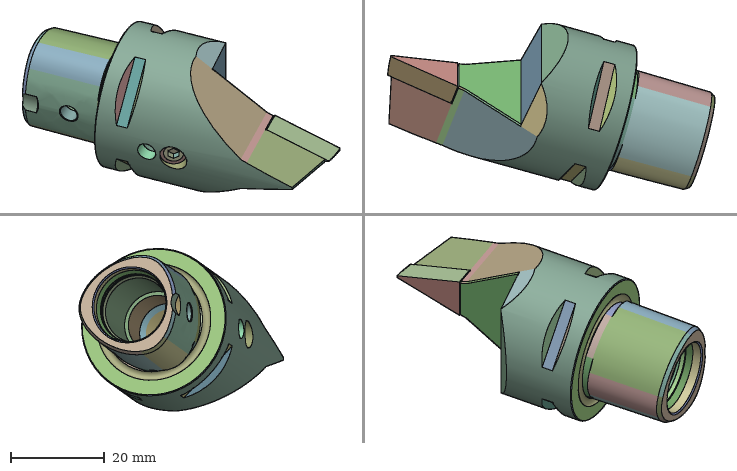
import cadquery as cq
import math


SHANK_LENGTH = 19.0
SHANK_LOBE = 0.65
LOBE_COUNT = 3
LOBE_HALF_ANGLE = 26.0
ARC_STEPS = 6
SHANK_BASE_RADIUS = 11.03
SHANK_END_RADIUS = 10.78
SHANK_BASE_X = -1.7
SHANK_CHAMFER_LENGTH = 0.9
SHANK_CHAMFER_INSET = 0.55
NECK_RADIUS = 10.8

BODY_RADIUS = 16.0
FLANGE_CHAMFER = 0.2
FACE_GROOVE_RADIUS = 12.65
FACE_GROOVE_DEPTH = 0.6

GRIP_X = 6.07
GRIP_FLOOR_DISTANCE = 14.1
GRIP_FLOOR_WIDTH = 2.45
GRIP_REAR_FLARE = 1.22
GRIP_FRONT_FLARE = 1.02
GRIP_COUNT = 4

RIDGE_Y = -0.35
SLOPE_START_X = 17.15
BEND_X = 33.4
BEND_HALF_HEIGHT = 5.35
NOSE_START_X = 34.8
NOSE_START_HALF_HEIGHT = 4.9
NOSE_TIP_X = 50.0
NOSE_TIP_HALF_HEIGHT = 0.24
BLADE_RELIEF = 0.089
BACK_RELIEF = 0.2
LAND_DROP = 0.3

BACK_CHAMFER_START_X = 15.5
BACK_CHAMFER_END = (19.7, 10.5)
STEP_X = 20.85
HEEL_X = 45.3
TOE_X = 48.4

INSERT_GAP = 0.25
POCKET_X = NOSE_START_X
INSERT_START_X = POCKET_X + INSERT_GAP
INSERT_DEPTH = 4.7
INSERT_NOSE_MIDDLE = (49.75, -2.2)
INSERT_NOSE_BOTTOM_X = 49.25

BORE_MOUTH_RADIUS = 8.25
BORE_SEAT_RADIUS = 7.95
BORE_THROAT_RADIUS = 7.43
BORE_LIP_RADIUS = 7.0
BORE_RADIUS = 6.16
BORE_TIP_RADIUS = 5.05
BORE_SEAT_END_X = -16.8
BORE_THROAT_X = -15.4
RING_START_X = -15.2
RING_END_X = -14.2
RING_INNER_RADIUS = 7.5
RING_OUTER_RADIUS = 8.1
BORE_THROAT_END_X = -13.6
BORE_LIP_X = -13.0
BORE_FLOOR_X = 2.0
BORE_END_X = 12.0
BORE_TIP_X = 15.05

KEYWAY_RADIUS = 3.5
KEYWAY_AXIS_Y = -12.7
KEYWAY_LENGTH = 3.4
SHANK_HOLE_X = -8.1
SHANK_HOLE_RADIUS = 1.95
SHANK_HOLE_CHAMFER = 0.2
BLIND_HOLE_X = 12.0
BLIND_HOLE_RADIUS = 2.05
BLIND_HOLE_DEPTH = 3.0
DRILL_POINT_SLOPE = math.tan(math.radians(31.0))

CHANNEL_RADIUS = 2.13
CHANNEL_TILT = 20.0
CHANNEL_SEAT = (17.5, -14.35)
CHANNEL_COUNTERBORE_RADIUS = 2.9
PLUG_LENGTH = 5.0
PLUG_HEX_WIDTH = 2.4
PLUG_HEX_DEPTH = 1.5

SLOPE = (BODY_RADIUS - BEND_HALF_HEIGHT) / (BEND_X - SLOPE_START_X)
NOSE_SLOPE = (NOSE_START_HALF_HEIGHT - NOSE_TIP_HALF_HEIGHT) / (NOSE_TIP_X - NOSE_START_X)
SHANK_CHAMFER_X = -SHANK_LENGTH + SHANK_CHAMFER_LENGTH


def revolve_about_x(points):
    return cq.Workplane("XY").polyline(points).close().revolve(360, (0, 0, 0), (1, 0, 0))


def drill_along_y(x, y, radius, depth):
    return cq.Workplane("XZ", origin=(x, y, 0)).circle(radius).extrude(-depth)


def lobed_point(x, radius, angle):
    """Point of the lobed curve whose outward normal stands at the given angle from +Y."""
    reach = radius + SHANK_LOBE * math.cos(LOBE_COUNT * angle)
    shift = -LOBE_COUNT * SHANK_LOBE * math.sin(LOBE_COUNT * angle)
    y = reach * math.cos(angle) - shift * math.sin(angle)
    z = reach * math.sin(angle) + shift * math.cos(angle)
    return cq.Vector(x, y, z)


def lobed_arc(x, radius, start_degrees, end_degrees):
    start = math.radians(start_degrees)
    step = (math.radians(end_degrees) - start) / ARC_STEPS
    angles = [start + index * step for index in range(ARC_STEPS + 1)]
    points = [lobed_point(x, radius, angle) for angle in angles]
    tangents = [cq.Vector(0, -math.sin(angle), math.cos(angle)) for angle in (angles[0], angles[-1])]
    return cq.Edge.makeSpline(points, tangents=tangents)


def lobed_section(x, radius):
    """Three-lobed curve of constant width, one lobe towards +Y, as alternating lobes and flanks."""
    pitch = 360 / LOBE_COUNT
    edges = []
    for lobe in range(LOBE_COUNT):
        lobe_start = lobe * pitch - LOBE_HALF_ANGLE
        lobe_end = lobe * pitch + LOBE_HALF_ANGLE
        edges.append(lobed_arc(x, radius, lobe_start, lobe_end))
        edges.append(lobed_arc(x, radius, lobe_end, lobe_start + pitch))
    return cq.Wire.assembleEdges(edges)


def lobed_loft(x_start, radius_start, x_end, radius_end):
    sections = [lobed_section(x_start, radius_start), lobed_section(x_end, radius_end)]
    return cq.Workplane(cq.Solid.makeLoft(sections, True))


def make_shank():
    taper = lobed_loft(SHANK_CHAMFER_X, SHANK_END_RADIUS, SHANK_BASE_X, SHANK_BASE_RADIUS)
    end_chamfer = lobed_loft(
        -SHANK_LENGTH, SHANK_END_RADIUS - SHANK_CHAMFER_INSET, SHANK_CHAMFER_X, SHANK_END_RADIUS
    )
    neck_end_x = 2 * FACE_GROOVE_DEPTH
    neck_round = cq.Workplane("YZ", origin=(SHANK_BASE_X, 0, 0)).circle(NECK_RADIUS)
    neck = neck_round.extrude(neck_end_x - SHANK_BASE_X).intersect(
        lobed_loft(SHANK_BASE_X, SHANK_BASE_RADIUS, neck_end_x, SHANK_BASE_RADIUS)
    )
    return taper.union(end_chamfer).union(neck)


def blade_section(y, loss):
    """Arrow-shaped outline in X and Z at a given Y, thinned by loss on both sides."""
    back_half_height = BODY_RADIUS + SLOPE * SLOPE_START_X - loss
    tip_x = NOSE_TIP_X + (NOSE_TIP_HALF_HEIGHT - loss) / NOSE_SLOPE
    upper = [
        (0, back_half_height),
        (BEND_X, BEND_HALF_HEIGHT - loss),
        (NOSE_START_X, NOSE_START_HALF_HEIGHT - loss),
    ]
    lower = [(x, -z) for x, z in reversed(upper)]
    corners = [cq.Vector(x, y, z) for x, z in upper + [(tip_x, 0)] + lower]
    return cq.Wire.makePolygon(corners, close=True)


def blade_loft(y_start, loss_start, y_end, loss_end):
    sections = [blade_section(y_start, loss_start), blade_section(y_end, loss_end)]
    return cq.Workplane(cq.Solid.makeLoft(sections, True))


def plan_prism(outline):
    """Outline in X and Y, extruded over the full height of the body."""
    return outline.close().extrude(BODY_RADIUS, both=True)


def make_body():
    cylinder = cq.Workplane("YZ").circle(BODY_RADIUS).extrude(NOSE_TIP_X)
    cylinder = cylinder.faces("<X").chamfer(FLANGE_CHAMFER)
    front = blade_loft(-BODY_RADIUS, BLADE_RELIEF * (BODY_RADIUS + RIDGE_Y), RIDGE_Y, 0)
    land = blade_loft(RIDGE_Y, 0, 0, LAND_DROP)
    back = blade_loft(RIDGE_Y, 0, BODY_RADIUS, BACK_RELIEF * (BODY_RADIUS - RIDGE_Y))

    front_outline = cq.Workplane("XY").moveTo(0, -BODY_RADIUS).lineTo(HEEL_X, -BODY_RADIUS)
    front_outline = front_outline.lineTo(TOE_X, -INSERT_DEPTH).lineTo(POCKET_X, -INSERT_DEPTH)
    front_outline = front_outline.lineTo(POCKET_X, 0).lineTo(0, 0)
    back_outline = cq.Workplane("XY").moveTo(0, RIDGE_Y).lineTo(STEP_X, RIDGE_Y).lineTo(STEP_X, 0)
    back_outline = back_outline.lineTo(*BACK_CHAMFER_END).lineTo(BACK_CHAMFER_START_X, BODY_RADIUS)
    back_outline = back_outline.lineTo(0, BODY_RADIUS)

    front_half = front.union(land).intersect(plan_prism(front_outline))
    back_half = back.intersect(plan_prism(back_outline))
    return front_half.union(back_half).intersect(cylinder)


def make_face_groove():
    """Ring of rounded section in the flange face, around the neck."""
    middle_radius = (NECK_RADIUS + FACE_GROOVE_RADIUS) / 2
    return (
        cq.Workplane("XY")
        .moveTo(0, NECK_RADIUS)
        .threePointArc((FACE_GROOVE_DEPTH, middle_radius), (0, FACE_GROOVE_RADIUS))
        .close()
        .revolve(360, (0, 0, 0), (1, 0, 0))
    )


def make_grip_groove():
    """Trapezoid groove across the top of the body."""
    rear_x = GRIP_X - GRIP_FLOOR_WIDTH / 2
    front_x = GRIP_X + GRIP_FLOOR_WIDTH / 2
    return (
        cq.Workplane("XZ")
        .polyline([
            (rear_x, GRIP_FLOOR_DISTANCE),
            (front_x, GRIP_FLOOR_DISTANCE),
            (front_x + GRIP_FRONT_FLARE, BODY_RADIUS),
            (rear_x - GRIP_REAR_FLARE, BODY_RADIUS),
        ])
        .close()
        .extrude(BODY_RADIUS, both=True)
    )


def make_bore():
    mouth_chamfer = BORE_MOUTH_RADIUS - BORE_SEAT_RADIUS
    tip_chamfer = BORE_RADIUS - BORE_TIP_RADIUS
    return revolve_about_x([
        (-SHANK_LENGTH, 0),
        (-SHANK_LENGTH, BORE_MOUTH_RADIUS),
        (-SHANK_LENGTH + mouth_chamfer, BORE_SEAT_RADIUS),
        (BORE_SEAT_END_X, BORE_SEAT_RADIUS),
        (BORE_THROAT_X, BORE_THROAT_RADIUS),
        (BORE_THROAT_END_X, BORE_THROAT_RADIUS),
        (BORE_LIP_X, BORE_LIP_RADIUS),
        (BORE_FLOOR_X, BORE_LIP_RADIUS),
        (BORE_FLOOR_X, BORE_RADIUS),
        (BORE_END_X - tip_chamfer, BORE_RADIUS),
        (BORE_END_X, BORE_TIP_RADIUS),
        (BORE_TIP_X, 0),
    ])


def make_ring_groove():
    start = cq.Workplane("YZ", origin=(RING_START_X, 0, 0))
    return start.circle(RING_OUTER_RADIUS).extrude(RING_END_X - RING_START_X)


def make_keyway():
    """Round-bottomed slot from the shank end, finished by a drill point."""
    end_x = -SHANK_LENGTH + KEYWAY_LENGTH
    return (
        cq.Workplane("XY")
        .polyline([
            (-SHANK_LENGTH, KEYWAY_AXIS_Y),
            (-SHANK_LENGTH, KEYWAY_AXIS_Y + KEYWAY_RADIUS),
            (end_x, KEYWAY_AXIS_Y + KEYWAY_RADIUS),
            (end_x + KEYWAY_RADIUS * DRILL_POINT_SLOPE, KEYWAY_AXIS_Y),
        ])
        .close()
        .revolve(360, (0, KEYWAY_AXIS_Y, 0), (1, KEYWAY_AXIS_Y, 0))
    )


def make_shank_hole():
    """Radial hole through the -Y wall into the bore, with a chamfered rim."""
    surface_y = SHANK_LOBE - (SHANK_BASE_RADIUS + SHANK_END_RADIUS) / 2
    rim_radius = SHANK_HOLE_RADIUS + SHANK_HOLE_CHAMFER
    hole = drill_along_y(SHANK_HOLE_X, -BODY_RADIUS, SHANK_HOLE_RADIUS, BODY_RADIUS)
    rim = cq.Solid.makeCone(
        rim_radius, 0, rim_radius, cq.Vector(SHANK_HOLE_X, surface_y, 0), cq.Vector(0, 1, 0)
    )
    return hole.union(cq.Workplane(rim))


def make_blind_hole():
    point_y = BLIND_HOLE_DEPTH - BODY_RADIUS
    point = cq.Solid.makeCone(
        BLIND_HOLE_RADIUS,
        0,
        BLIND_HOLE_RADIUS * DRILL_POINT_SLOPE,
        cq.Vector(BLIND_HOLE_X, point_y, 0),
        cq.Vector(0, 1, 0),
    )
    hole = drill_along_y(BLIND_HOLE_X, -BODY_RADIUS, BLIND_HOLE_RADIUS, BLIND_HOLE_DEPTH)
    return hole.union(cq.Workplane(point))


def channel_plane():
    """Plane of the counterbore floor, facing inwards along the channel."""
    tilt = math.radians(CHANNEL_TILT)
    inward = cq.Vector(-math.sin(tilt), math.cos(tilt), 0)
    seat = cq.Vector(*CHANNEL_SEAT, 0)
    return cq.Workplane(cq.Plane(seat, xDir=(0, 0, 1), normal=inward))


def make_channel():
    length = -CHANNEL_SEAT[1] / math.cos(math.radians(CHANNEL_TILT))
    channel = channel_plane().circle(CHANNEL_RADIUS).extrude(length)
    counterbore = channel_plane().circle(CHANNEL_COUNTERBORE_RADIUS).extrude(-BODY_RADIUS)
    return channel.union(counterbore)


def make_holder():
    holder = make_body().cut(make_face_groove()).union(make_shank())
    for index in range(GRIP_COUNT):
        angle = (index + 0.5) * 360 / GRIP_COUNT
        holder = holder.cut(make_grip_groove().rotate((0, 0, 0), (1, 0, 0), angle))
    for cutter in (make_bore(), make_ring_groove(), make_keyway()):
        holder = holder.cut(cutter)
    for cutter in (make_shank_hole(), make_blind_hole(), make_channel()):
        holder = holder.cut(cutter)
    return holder


def make_insert():
    top_loss = BLADE_RELIEF * RIDGE_Y
    bottom_loss = BLADE_RELIEF * (INSERT_DEPTH + RIDGE_Y)
    block = blade_loft(-INSERT_DEPTH, bottom_loss, 0, top_loss)
    outline = cq.Workplane("XY").moveTo(INSERT_START_X, 0).lineTo(NOSE_TIP_X, 0)
    outline = outline.threePointArc(INSERT_NOSE_MIDDLE, (INSERT_NOSE_BOTTOM_X, -INSERT_DEPTH))
    outline = outline.lineTo(INSERT_START_X, -INSERT_DEPTH)
    return block.intersect(plan_prism(outline))


def make_plug():
    plug = channel_plane().circle(CHANNEL_RADIUS).extrude(PLUG_LENGTH)
    hex_corner_diameter = PLUG_HEX_WIDTH / math.cos(math.pi / 6)
    socket = channel_plane().polygon(6, hex_corner_diameter).extrude(PLUG_HEX_DEPTH)
    return plug.cut(socket)


def make_ring():
    """Retaining ring seated in the groove of the bore."""
    start = cq.Workplane("YZ", origin=(RING_START_X, 0, 0))
    return start.circle(RING_OUTER_RADIUS).circle(RING_INNER_RADIUS).extrude(RING_END_X - RING_START_X)


holder = make_holder()
insert = make_insert()
plug = make_plug()
ring = make_ring()

bodies = (holder, insert, plug, ring)
result = cq.Compound.makeCompound([body.solids().val() for body in bodies])